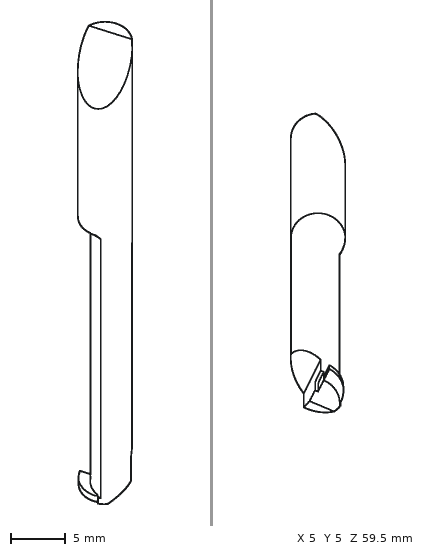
import cadquery as cq
import math


length = 59.5
radius = 2.5
diameter = 2 * radius

flat_angle = 30.0
flat_top_y = radius / 2
flat_height = (flat_top_y + radius) / math.tan(math.radians(flat_angle))

neck_shift = radius / 2
neck_top = 36.05
neck_fillet = 0.55

face_y = 0.3
face_top = 4.65
relief_top = 8.05

end_chamfer = 1.4

rake_height = 2.0
rake_corner = 0.35

tip_height = 0.9
tip_clearance = 0.2
tip_fillet = 0.2
tip_center_x = math.sqrt(radius**2 - tip_clearance**2) - radius
lug_x = 0.35
end_rise = 0.2


def cylinder(center_x, center_y, bottom, top):
    """Cylinder of the shank radius, parallel to Z."""
    circle = cq.Workplane("XY", origin=(center_x, center_y, bottom)).circle(radius)
    return circle.extrude(top - bottom)


def across_x(points):
    """Prism along X, wider than the bar, from (y, z) points."""
    return cq.Workplane("YZ").polyline(points).close().extrude(diameter, both=True)


def across_y(points):
    """Prism along Y, wider than the bar, from (x, z) points."""
    return cq.Workplane("XZ").polyline(points).close().extrude(diameter, both=True)


def clamping_flat():
    return across_x([
        (flat_top_y, length),
        (-radius, length - flat_height),
        (-diameter, length - flat_height),
        (-diameter, length),
    ])


def neck_relief():
    """Everything outside the neck circle, with a rounded upper corner."""
    neck = cylinder(neck_shift, 0, 0, neck_top)
    ring = cq.Workplane("XY", origin=(neck_shift, 0, 0)).circle(2 * diameter).extrude(neck_top)
    fillet = fillet_ring(neck_top, neck_fillet, -1)
    return ring.cut(neck).cut(fillet).cut(lug())


def lug():
    """Foot that keeps the full shank circle beside the tip."""
    block = cq.Workplane("XY", origin=(lug_x, -diameter, 0))
    return block.box(diameter, diameter, tip_height, centered=False)


def fillet_ring(level, size, direction):
    """Concave fillet round the neck, on a face at this level; direction is +1 up or -1 down."""
    end = level + direction * size
    middle = size * (1 - math.sqrt(0.5))
    profile = (
        cq.Workplane("XZ", origin=(neck_shift, 0, 0))
        .moveTo(radius, level)
        .lineTo(radius + size, level)
        .threePointArc((radius + middle, level + direction * middle), (radius, end))
        .close()
    )
    return profile.revolve(360, (0, 0), (0, 1))


def rear_relief():
    return across_x([
        (face_y, 0),
        (face_y, face_top),
        (radius, relief_top),
        (diameter, relief_top),
        (diameter, 0),
    ])


def rake_pocket():
    """Pocket in the half-round face, open at the end and on the cutting side."""
    pocket = cq.Workplane("XY").box(diameter, diameter, rake_height, centered=False)
    return pocket.translate((-diameter, 0, 0)).edges("|Y and >X and >Z").fillet(rake_corner)


def end_cut():
    """Sloped end face, lowest at the cutting edge, and the chamfer opposite it."""
    slope = across_y([(-radius, 0), (radius, end_rise), (radius, 0)])
    chamfer = across_y([
        (radius - end_chamfer, 0),
        (radius, end_chamfer),
        (diameter, end_chamfer),
        (diameter, 0),
    ])
    return slope.union(chamfer)


def make_bar():
    bar = cylinder(0, 0, 0, length)
    bar = bar.cut(clamping_flat()).cut(neck_relief())
    return bar.cut(rear_relief()).cut(rake_pocket()).cut(end_cut())


def make_tip():
    """Crescent hook standing out from the neck, with a fillet on its upper side."""
    hook = cylinder(tip_center_x, tip_clearance, 0, tip_height)
    outline = cylinder(tip_center_x, tip_clearance, 0, tip_height + tip_fillet)
    hook = hook.union(fillet_ring(tip_height, tip_fillet, 1).intersect(outline))
    hook = hook.cut(cylinder(neck_shift, 0, 0, length))
    return hook.cut(rear_relief()).cut(rake_pocket()).cut(end_cut())


bar = make_bar()
tip = make_tip()
result = cq.Compound.makeCompound([bar.solids().val(), tip.solids().val()])